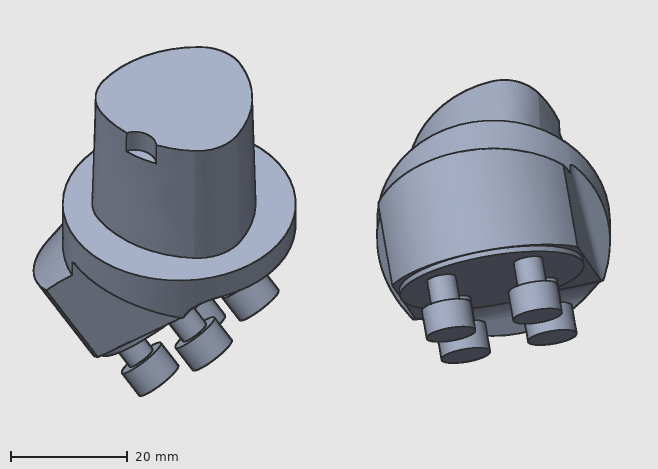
import cadquery as cq
import math


shank_height = 24.0
shank_taper = math.degrees(math.atan(1 / 40))
lobe_reach = 14.97
flat_reach = 13.15
lobe_radius = 8.5
lobe_count = 3

notch_depth = 4.15
notch_radius = 3.7
notch_inner_y = -10.8

flange_radius = 20.0
flange_depth = 9.5
skirt_angle = 30.0
skirt_bottom_z = -35.0

seat_center = (-1.77, 0, -21.33)
head_radius = 18.5
head_back = 16.22
seat_disc_radius = 16.0
seat_disc_height = 1.0

screw_spacing = 15.28
screw_shank_diameter = 5.0
screw_shank_length = 5.0
screw_head_diameter = 8.5
screw_head_height = 5.0

flat_half_width = 16.35
ceiling_z = -7.45
ceiling_drop_angle = 6.8
ceiling_rise_angle = 15.0
ceiling_fillet = 1.0

rim_depth = 4.85
relief_radius = 5.5
relief_center_x = 16.3

margin = 60.0

seat_plane = cq.Plane(origin=seat_center, xDir=(1, 0, 1), normal=(1, 0, -1))


def polar_point(radius, angle):
    return (radius * math.cos(math.radians(angle)), radius * math.sin(math.radians(angle)))


def make_shank():
    """Lobes and flat sides are arcs that meet tangentially."""
    lobe_offset = lobe_reach - lobe_radius
    half_sector = 180 / lobe_count
    along = lobe_offset * math.cos(math.radians(half_sector))
    across = lobe_offset * math.sin(math.radians(half_sector))
    reach = flat_reach - along
    side_radius = (reach**2 + across**2 - lobe_radius**2) / (2 * (reach - lobe_radius))
    half_side_angle = math.asin(across / (side_radius - lobe_radius))
    joint_across = side_radius * math.sin(half_side_angle)
    joint_along = side_radius * math.cos(half_side_angle) - (side_radius - flat_reach)
    joint_radius = math.hypot(joint_across, joint_along)
    joint_angle = math.degrees(math.atan2(joint_across, joint_along))

    first_flat_angle = 90 + half_sector
    outline = cq.Workplane("XY").moveTo(*polar_point(joint_radius, first_flat_angle - joint_angle))
    for index in range(lobe_count):
        flat_angle = first_flat_angle + 2 * half_sector * index
        lobe_angle = flat_angle + half_sector
        next_flat_angle = lobe_angle + half_sector
        outline = outline.threePointArc(
            polar_point(flat_reach, flat_angle), polar_point(joint_radius, flat_angle + joint_angle)
        )
        outline = outline.threePointArc(
            polar_point(lobe_reach, lobe_angle), polar_point(joint_radius, next_flat_angle - joint_angle)
        )
    shank = outline.close().extrude(shank_height, taper=shank_taper)

    notch = (
        cq.Workplane("XY", origin=(0, notch_inner_y - notch_radius, shank_height - notch_depth))
        .circle(notch_radius)
        .extrude(notch_depth)
    )
    return shank.cut(notch)


def make_flange_and_skirt():
    skirt_depth = -flange_depth - skirt_bottom_z
    skirt_radius = flange_radius + skirt_depth * math.tan(math.radians(skirt_angle))
    return (
        cq.Workplane("XZ")
        .moveTo(0, 0)
        .lineTo(flange_radius, 0)
        .lineTo(flange_radius, -flange_depth)
        .lineTo(skirt_radius, skirt_bottom_z)
        .lineTo(0, skirt_bottom_z)
        .close()
        .revolve(360, (0, 0, 0), (0, 1, 0))
    )


def make_head_envelope():
    """U-shaped bar behind the seat: round at the back, open towards the flange."""
    round_center = head_radius - head_back
    return (
        cq.Workplane(seat_plane)
        .moveTo(round_center, head_radius)
        .threePointArc((-head_back, 0), (round_center, -head_radius))
        .lineTo(round_center, -margin)
        .lineTo(margin, -margin)
        .lineTo(margin, margin)
        .lineTo(round_center, margin)
        .close()
        .extrude(-margin)
    )


def make_side_cut(side):
    """Space outside one flat (side is +1 or -1), below the inclined ceiling."""
    drop = math.tan(math.radians(ceiling_drop_angle))
    rise = math.tan(math.radians(ceiling_rise_angle))
    inner_y = side * flat_half_width
    outer_y = side * (flat_half_width + margin)

    def section(x):
        corner_z = ceiling_z - drop * x
        return cq.Wire.makePolygon(
            [
                cq.Vector(x, inner_y, -margin),
                cq.Vector(x, inner_y, corner_z),
                cq.Vector(x, outer_y, corner_z + rise * margin),
                cq.Vector(x, outer_y, -margin),
            ],
            close=True,
        )

    cutter = cq.Workplane(cq.Solid.makeLoft([section(-margin), section(margin)], True))
    corner = cq.selectors.NearestToPointSelector((0, inner_y, ceiling_z))
    return cutter.edges(corner).fillet(ceiling_fillet)


def make_rim_relief():
    """Space under the +X rim: a round corner that runs out into a flat underside."""
    center_z = -rim_depth - relief_radius
    start_x = relief_center_x - relief_radius
    arc_middle = polar_point(relief_radius, 135)
    return (
        cq.Workplane("XZ")
        .moveTo(start_x, center_z)
        .threePointArc(
            (relief_center_x + arc_middle[0], center_z + arc_middle[1]),
            (relief_center_x, -rim_depth),
        )
        .lineTo(margin, -rim_depth)
        .lineTo(margin, center_z)
        .close()
        .extrude(margin, both=True)
    )


def make_flange_rim():
    """Full-round flange down to where the relief arc runs into the seat plane."""
    center_z = -rim_depth - relief_radius
    seat_offset = seat_center[0] - seat_center[2]
    distance = (relief_center_x - center_z - seat_offset) / math.sqrt(2)
    half_chord = math.sqrt(relief_radius**2 - distance**2)
    run_out_z = center_z + (distance - half_chord) / math.sqrt(2)
    return cq.Workplane("XY").circle(flange_radius).extrude(run_out_z)


def make_seat_disc():
    return cq.Workplane(seat_plane).circle(seat_disc_radius).extrude(seat_disc_height)


def make_screw_cylinders(diameter, start, length):
    """One cylinder at each screw place, starting at a height above the seat."""
    return (
        cq.Workplane(seat_plane)
        .workplane(offset=start)
        .rarray(screw_spacing, screw_spacing, 2, 2)
        .circle(diameter / 2)
        .extrude(length)
    )


def make_screws():
    head_start = seat_disc_height + screw_shank_length
    shanks = make_screw_cylinders(screw_shank_diameter, 0, head_start)
    heads = make_screw_cylinders(screw_head_diameter, head_start, screw_head_height)
    return shanks.union(heads)


body = make_flange_and_skirt().intersect(make_head_envelope())
body = body.union(make_flange_rim())
for side in (1, -1):
    body = body.cut(make_side_cut(side))
body = body.cut(make_rim_relief())

result = body.union(make_shank()).union(make_seat_disc()).union(make_screws())